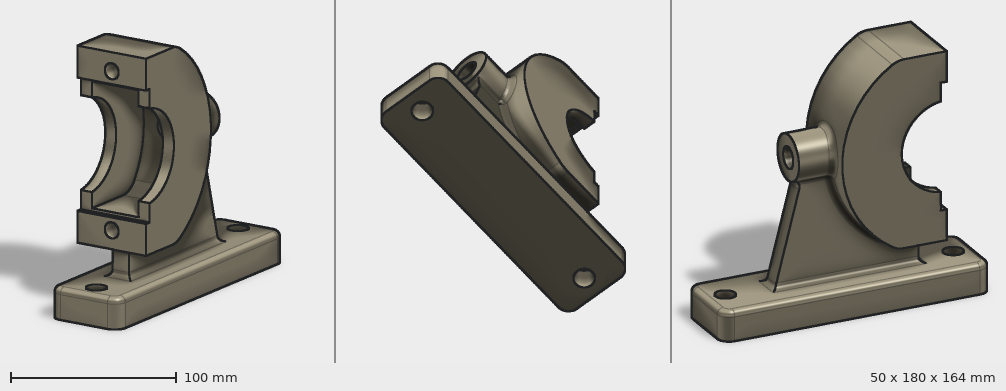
import cadquery as cq
import math

width = 50.0
base_length = 180
base_height = 20.0
base_corner_radius = 8.0
edge_radius = 4.0
base_hole_diameter = 13.0
base_hole_offset = 76.3

front_y = -60.0
housing_bottom = 40.0
housing_height = 124.0
half_height = housing_height / 2
axis_z = housing_bottom + half_height
housing_radius = 70.0
blend_radius = 15.0
bore_radius = 30.0
notch_depth = 4.0
notch_half_height = 42.0

pocket_width = 34.0
pocket_half_height = 40.0
pocket_radius = 60.0

screw_hole_diameter = 10.0
screw_hole_depth = 2 * screw_hole_diameter
screw_hole_offset = 50.0
drill_tip_angle = 118

boss_diameter = 30.0
boss_end_y = 34.2
boss_hole_diameter = 14.0

rib_thickness = 12.0
rib_front_y = -50.0
rib_foot_y = 46.0
rib_top_y = 28.6


def blended_half_disc(radius, half_size, blend, thickness):
    """Half disc behind the front face, flattened top and bottom, with blended corners."""
    blend_z = half_size - blend
    blend_y = math.sqrt((radius - blend) ** 2 - blend_z ** 2)
    arc_angle = math.atan2(blend_z, blend_y)
    tangent_y = radius * math.cos(arc_angle)
    tangent_z = radius * math.sin(arc_angle)
    mid_angle = (arc_angle + math.pi / 2) / 2
    mid_y = blend_y + blend * math.cos(mid_angle)
    mid_z = blend_z + blend * math.sin(mid_angle)
    return (
        cq.Workplane("YZ", origin=(0, front_y, axis_z))
        .moveTo(0, -half_size)
        .lineTo(blend_y, -half_size)
        .threePointArc((mid_y, -mid_z), (tangent_y, -tangent_z))
        .threePointArc((radius, 0), (tangent_y, tangent_z))
        .threePointArc((mid_y, mid_z), (blend_y, half_size))
        .lineTo(0, half_size)
        .close()
        .extrude(thickness / 2, both=True)
    )


def make_base():
    return (
        cq.Workplane("XY")
        .rect(width, base_length)
        .extrude(base_height)
        .edges("|Z").fillet(base_corner_radius)
        .faces(">Z").edges().fillet(edge_radius)
    )


def make_rib():
    """Tapered web, reaching into the base, the boss and the housing."""
    slope = (rib_foot_y - rib_top_y) / (axis_z - boss_diameter / 2 - base_height)
    sunk_z = base_height / 2
    sunk_y = rib_foot_y + slope * (base_height - sunk_z)
    peak_y = rib_foot_y - slope * (axis_z - base_height)
    inside_housing_z = housing_bottom + edge_radius
    return (
        cq.Workplane("YZ")
        .polyline([
            (rib_front_y, sunk_z),
            (sunk_y, sunk_z),
            (peak_y, axis_z),
            (0, axis_z),
            (rib_front_y, inside_housing_z),
        ])
        .close()
        .extrude(rib_thickness / 2, both=True)
    )


def cylinder_along_y(diameter, start_y, end_y, z):
    return (
        cq.Workplane("XZ", origin=(0, start_y, z))
        .circle(diameter / 2)
        .extrude(start_y - end_y)
    )


def join_with_fillets(bodies):
    """Unite the bodies and round the new edges where they meet."""
    joined = bodies[0]
    for body in bodies[1:]:
        joined = joined.union(body)
    old_edges = cq.Compound.makeCompound([edge for body in bodies for edge in body.edges().vals()])
    tolerance = 0.002

    def is_new(edge):
        middle = cq.Vertex.makeVertex(*edge.positionAt(0.5).toTuple())
        return middle.distance(old_edges) > tolerance

    return joined.edges().filter(is_new).fillet(edge_radius)


def screw_hole(z):
    radius = screw_hole_diameter / 2
    tip_length = radius / math.tan(math.radians(drill_tip_angle / 2))
    return (
        cq.Workplane("XY", origin=(0, front_y, z))
        .polyline([(0, 0), (radius, 0), (radius, screw_hole_depth), (0, screw_hole_depth + tip_length)])
        .close()
        .revolve(360, (0, 0), (0, 1))
    )


housing = blended_half_disc(housing_radius, half_height, blend_radius, width)
boss = cylinder_along_y(boss_diameter, front_y + pocket_radius, boss_end_y, axis_z)
result = join_with_fillets([make_base(), make_rib(), housing, boss])

bore = cq.Workplane("YZ", origin=(0, front_y, axis_z)).circle(bore_radius).extrude(width / 2, both=True)
notch = cq.Workplane("XY").box(width, 2 * notch_depth, 2 * notch_half_height)
pocket = blended_half_disc(pocket_radius, pocket_half_height, blend_radius, pocket_width)
result = result.cut(bore).cut(notch.translate((0, front_y, axis_z))).cut(pocket)

result = result.cut(cylinder_along_y(boss_hole_diameter, front_y, boss_end_y, axis_z))
for side in (-1, 1):
    result = result.cut(screw_hole(axis_z + side * screw_hole_offset))
    base_hole = (
        cq.Workplane("XY")
        .center(0, side * base_hole_offset)
        .circle(base_hole_diameter / 2)
        .extrude(base_height)
    )
    result = result.cut(base_hole)